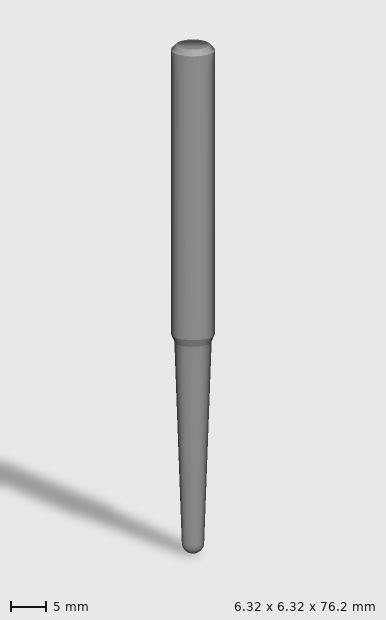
import cadquery as cq
import math

LENGTH = 76.2
SHANK_RADIUS = 3.16
TOP_CHAMFER = 0.8
CUTTER_LENGTH = 31.8
SHOULDER_HEIGHT = 1.15
CUTTER_TOP_RADIUS = 2.7
BALL_RADIUS = 1.6

SHOULDER_TOP_Z = CUTTER_LENGTH + SHOULDER_HEIGHT

TAPER_RISE = CUTTER_LENGTH - BALL_RADIUS
TAPER_ANGLE = math.atan2(CUTTER_TOP_RADIUS, TAPER_RISE) - math.asin(
    BALL_RADIUS / math.hypot(CUTTER_TOP_RADIUS, TAPER_RISE)
)
TANGENT_RADIUS = BALL_RADIUS * math.cos(TAPER_ANGLE)
TANGENT_Z = BALL_RADIUS * (1 - math.sin(TAPER_ANGLE))


def revolve_about_z(profile):
    """Turn a closed XZ profile through a full circle about the Z axis."""
    return profile.revolve(360, (0, 0), (0, 1))


def make_shank():
    """Cylindrical shank with a chamfered top and a conical shoulder below."""
    profile = (
        cq.Workplane("XZ")
        .moveTo(0, CUTTER_LENGTH)
        .lineTo(CUTTER_TOP_RADIUS, CUTTER_LENGTH)
        .lineTo(SHANK_RADIUS, SHOULDER_TOP_Z)
        .lineTo(SHANK_RADIUS, LENGTH - TOP_CHAMFER)
        .lineTo(SHANK_RADIUS - TOP_CHAMFER, LENGTH)
        .lineTo(0, LENGTH)
        .close()
    )
    return revolve_about_z(profile)


def make_cutter():
    """Tapered cutter with a ball end; its flat top meets the shank's shoulder."""
    profile = (
        cq.Workplane("XZ")
        .moveTo(0, 0)
        .radiusArc((TANGENT_RADIUS, TANGENT_Z), -BALL_RADIUS)
        .lineTo(CUTTER_TOP_RADIUS, CUTTER_LENGTH)
        .lineTo(0, CUTTER_LENGTH)
        .close()
    )
    return revolve_about_z(profile)


shank = make_shank()
cutter = make_cutter()

result = cq.Compound.makeCompound([shank.val(), cutter.val()])